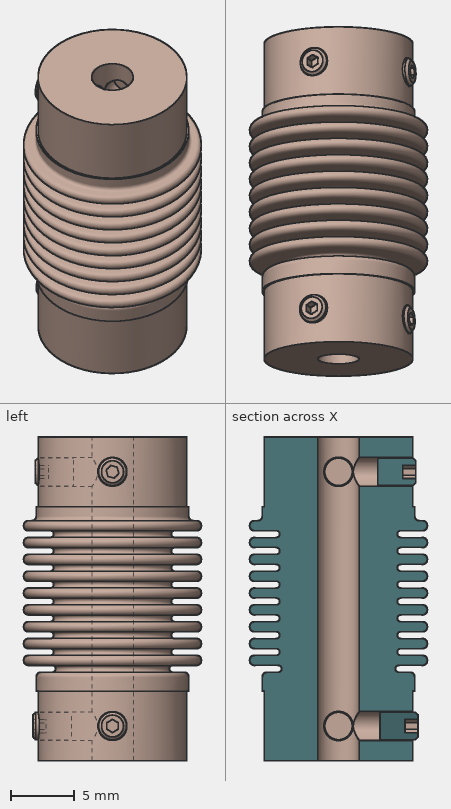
import cadquery as cq
import math

total_length = 25.4
hub_radius = 5.85
hub_length = 5.45
bore_diameter = 3.25

collar_radius = 6.0
lower_collar_top = 6.95
upper_collar_fillet = 0.33

convolution_count = 9
convolution_pitch = 1.32
convolution_thickness = 0.81
crest_radius = 6.98
root_radius = 4.62
lowest_root_radius = 4.47
crest_round = convolution_thickness / 2
groove_width = convolution_pitch - convolution_thickness
groove_round = groove_width / 2
lower_collar_round = crest_round

screw_hole_diameter = 2.25
screw_diameter = 2.18
screw_length = 3.0
screw_chamfer = 0.23
socket_across_flats = 0.9
socket_depth = 1.02
lower_screw_height = hub_length / 2
upper_screw_height = total_length - lower_screw_height

TOWARD_MINUS_X = 180
TOWARD_PLUS_Y = 90

screw_places = [
    (TOWARD_MINUS_X, upper_screw_height, 0.3, 15),
    (TOWARD_MINUS_X, lower_screw_height, 0.23, 0),
    (TOWARD_PLUS_Y, upper_screw_height, 0.23, 0),
    (TOWARD_PLUS_Y, lower_screw_height, 0.4, 0),
]


def radial_plane(direction, height):
    """Plane with its origin on the axis and its normal pointing outward along the direction."""
    angle = math.radians(direction)
    outward = (math.cos(angle), math.sin(angle), 0)
    sideways = (-math.sin(angle), math.cos(angle), 0)
    return cq.Plane(origin=(0, 0, height), xDir=sideways, normal=outward)


def add_convolution(profile, bottom, groove_bottom_radius):
    """Continue the profile up through one groove and the rounded disc above it."""
    disc_bottom = bottom + groove_width
    disc_top = bottom + convolution_pitch
    groove_edge_radius = groove_bottom_radius + groove_round
    disc_edge_radius = crest_radius - crest_round
    return (
        profile.lineTo(groove_edge_radius, bottom)
        .tangentArcPoint((groove_bottom_radius, bottom + groove_round), relative=False)
        .tangentArcPoint((groove_edge_radius, disc_bottom), relative=False)
        .lineTo(disc_edge_radius, disc_bottom)
        .tangentArcPoint((crest_radius, disc_bottom + crest_round), relative=False)
        .tangentArcPoint((disc_edge_radius, disc_top), relative=False)
    )


def make_coupling_blank():
    """Hubs, collars and bellows revolved from one half profile in the XZ plane."""
    bellows_top = lower_collar_top + convolution_count * convolution_pitch
    upper_hub_bottom = total_length - hub_length
    profile = (
        cq.Workplane("XZ")
        .lineTo(hub_radius, 0)
        .lineTo(hub_radius, hub_length)
        .lineTo(collar_radius, hub_length)
        .lineTo(collar_radius, lower_collar_top - lower_collar_round)
        .tangentArcPoint((collar_radius - lower_collar_round, lower_collar_top), relative=False)
    )
    for index in range(convolution_count):
        groove_bottom_radius = lowest_root_radius if index == 0 else root_radius
        bottom = lower_collar_top + index * convolution_pitch
        profile = add_convolution(profile, bottom, groove_bottom_radius)
    profile = (
        profile.lineTo(collar_radius + upper_collar_fillet, bellows_top)
        .tangentArcPoint((-upper_collar_fillet, upper_collar_fillet))
        .lineTo(collar_radius, upper_hub_bottom)
        .lineTo(hub_radius, upper_hub_bottom)
        .lineTo(hub_radius, total_length)
        .lineTo(0, total_length)
        .close()
    )
    return profile.revolve(360, (0, 0, 0), (0, 1, 0))


def make_screw_hole(direction, height):
    """Radial hole from the axis out through the hub wall."""
    return cq.Workplane(radial_plane(direction, height)).circle(screw_hole_diameter / 2).extrude(crest_radius)


def make_coupling():
    bore = cq.Workplane("XY").circle(bore_diameter / 2).extrude(total_length)
    coupling = make_coupling_blank().cut(bore)
    for direction, height, _, _ in screw_places:
        coupling = coupling.cut(make_screw_hole(direction, height))
    return coupling


def make_screw(direction, height, protrusion, socket_turn):
    """Set screw whose outer end stands out of the hub by the protrusion."""
    tip_radius = hub_radius + protrusion
    socket_across_corners = socket_across_flats / math.cos(math.radians(30))
    corner_angle = 90 + socket_turn
    plane = radial_plane(direction, height)
    screw = (
        cq.Workplane(plane)
        .workplane(offset=tip_radius - screw_length)
        .circle(screw_diameter / 2)
        .extrude(screw_length)
        .faces(cq.selectors.DirectionMinMaxSelector(plane.zDir, True))
        .chamfer(screw_chamfer)
    )
    socket = (
        cq.Workplane(plane)
        .workplane(offset=tip_radius - socket_depth)
        .transformed(rotate=(0, 0, corner_angle))
        .polygon(6, socket_across_corners)
        .extrude(socket_depth)
    )
    return screw.cut(socket)


coupling = make_coupling()
screws = [make_screw(*place) for place in screw_places]

result = cq.Compound.makeCompound([coupling.val(), *[screw.val() for screw in screws]])